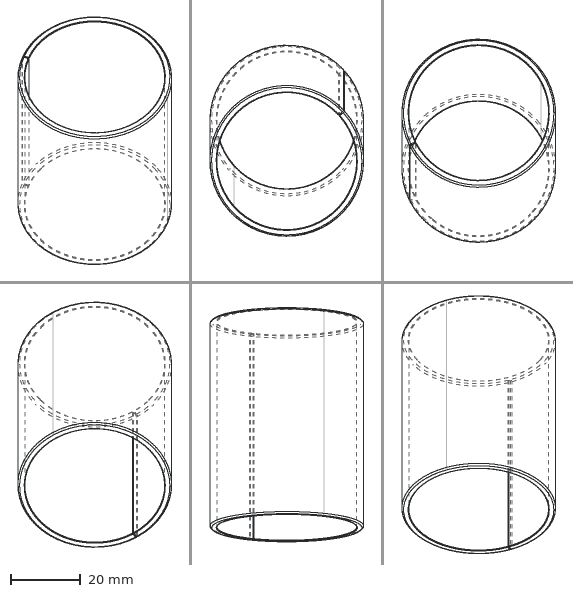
import cadquery as cq

outer_diameter = 44.0
inner_diameter = 40.0
length = 60.0
outer_chamfer = 0.5
inner_chamfer = 0.2
slit_angle = 1.0
slit_overrun = 1.0

outer_radius = outer_diameter / 2
inner_radius = inner_diameter / 2
half_length = length / 2


def make_sleeve():
    """Revolve the wall section, chamfered at all four corners, about Z."""
    wall_section = (
        cq.Workplane("XZ")
        .moveTo(inner_radius, -half_length + inner_chamfer)
        .lineTo(inner_radius + inner_chamfer, -half_length)
        .lineTo(outer_radius - outer_chamfer, -half_length)
        .lineTo(outer_radius, -half_length + outer_chamfer)
        .lineTo(outer_radius, half_length - outer_chamfer)
        .lineTo(outer_radius - outer_chamfer, half_length)
        .lineTo(inner_radius + inner_chamfer, half_length)
        .lineTo(inner_radius, half_length - inner_chamfer)
        .close()
    )
    return wall_section.revolve(360, (0, 0), (0, 1))


def make_slit():
    """Full-length wedge through the wall, swept from the -X axis towards +Y."""
    cutter_inner = inner_radius - slit_overrun
    cutter_outer = outer_radius + slit_overrun
    cutter_half_length = half_length + slit_overrun
    wedge_section = (
        cq.Workplane("XZ")
        .moveTo(-cutter_inner, -cutter_half_length)
        .lineTo(-cutter_outer, -cutter_half_length)
        .lineTo(-cutter_outer, cutter_half_length)
        .lineTo(-cutter_inner, cutter_half_length)
        .close()
    )
    return wedge_section.revolve(slit_angle, (0, 0), (0, -1))


result = make_sleeve().cut(make_slit())